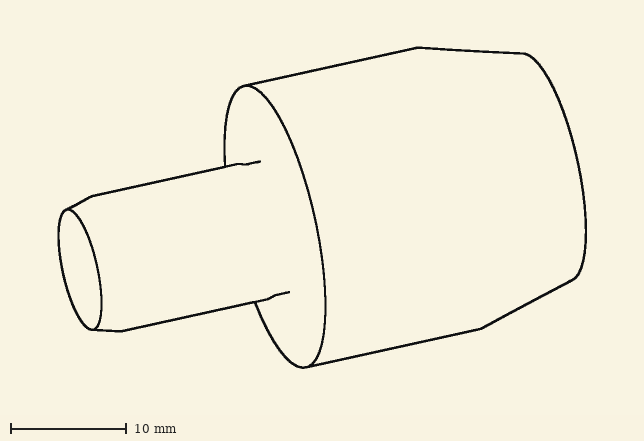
import cadquery as cq
import math

total_length = 43.0
head_diameter = 25.0
head_length = 25.0
head_taper_length = 9.0
shank_diameter = 12.0
shank_lead_length = 2.5
taper_angle = math.radians(15)

neck_diameter = 11.6
undercut_length = 2.1
undercut_ramp_angle = math.radians(15)
recess_diameter = 13.65
recess_angle = math.radians(8)
undercut_fillet = 0.2

head_radius = head_diameter / 2
head_end_radius = head_radius - head_taper_length * math.tan(taper_angle)
shank_radius = shank_diameter / 2
shank_end_radius = shank_radius - shank_lead_length * math.tan(taper_angle)
shank_length = total_length - head_length
neck_radius = neck_diameter / 2
recess_radius = recess_diameter / 2
ramp_length = (shank_radius - neck_radius) / math.tan(undercut_ramp_angle)

fillet_center_radius = neck_radius + undercut_fillet
fillet_top_radius = fillet_center_radius + undercut_fillet * math.sin(recess_angle)
fillet_top_y = (recess_radius - fillet_top_radius) * math.tan(recess_angle)
fillet_center_y = fillet_top_y - undercut_fillet * math.cos(recess_angle)
fillet_mid_angle = (math.pi / 2 - recess_angle + math.pi) / 2
fillet_middle = (
    fillet_center_radius + undercut_fillet * math.cos(fillet_mid_angle),
    fillet_center_y + undercut_fillet * math.sin(fillet_mid_angle),
)

half_section = (
    cq.Workplane("XY")
    .moveTo(0, -shank_length)
    .lineTo(shank_end_radius, -shank_length)
    .lineTo(shank_radius, -shank_length + shank_lead_length)
    .lineTo(shank_radius, -undercut_length)
    .lineTo(neck_radius, -undercut_length + ramp_length)
    .lineTo(neck_radius, fillet_center_y)
    .threePointArc(fillet_middle, (fillet_top_radius, fillet_top_y))
    .lineTo(recess_radius, 0)
    .lineTo(head_radius, 0)
    .lineTo(head_radius, head_length - head_taper_length)
    .lineTo(head_end_radius, head_length)
    .lineTo(0, head_length)
    .close()
)

result = half_section.revolve(360, (0, 0, 0), (0, 1, 0))